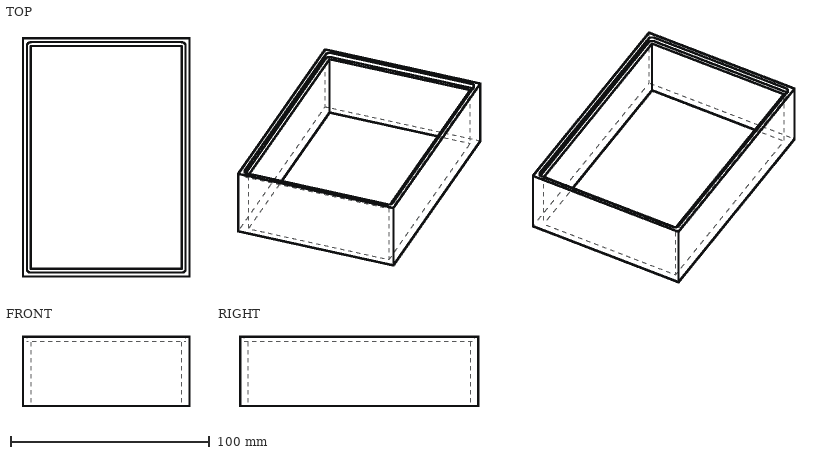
import cadquery as cq

length_x = 84.0
length_y = 120.0
height = 35.0

wall = 4.0

lip = 2.0
step_depth = 2.5
step_corner_radius = 2.0


def make_frame():
    """Rectangular tube, centred on Z, with its bottom at Z = 0."""
    body = cq.Workplane("XY").rect(length_x, length_y).extrude(height)
    opening = (
        cq.Workplane("XY")
        .rect(length_x - 2 * wall, length_y - 2 * wall)
        .extrude(height)
    )
    return body.cut(opening)


def make_step():
    """Round-cornered block that sinks the inner part of the rim."""
    return (
        cq.Workplane("XY", origin=(0, 0, height - step_depth))
        .rect(length_x - 2 * lip, length_y - 2 * lip)
        .extrude(step_depth)
        .edges("|Z")
        .fillet(step_corner_radius)
    )


result = make_frame().cut(make_step())